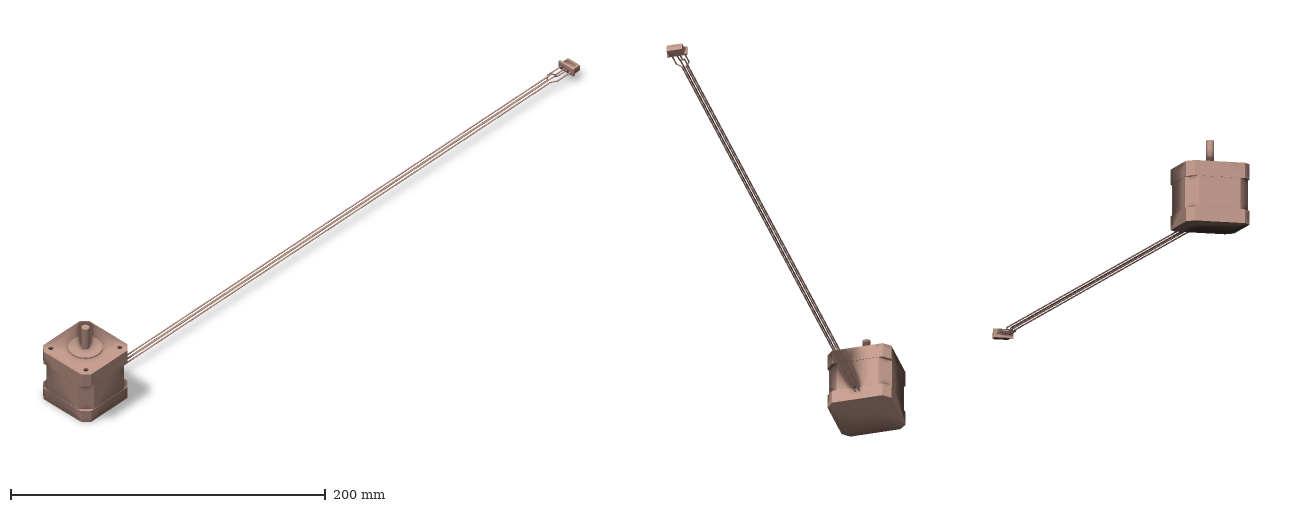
import cadquery as cq

motor_side = 42.5
core_recess = 0.25
core_side = motor_side - 2 * core_recess
cap_corner_chamfer = 4.45
core_corner_chamfer = 7.0
rear_cap_height = 9.0
core_height = 20.0
front_cap_height = 10.0
body_height = rear_cap_height + core_height + front_cap_height

pilot_diameter = 22.0
pilot_height = 1.0
shaft_diameter = 5.0
overall_height = 56.0
screw_spacing = 31.0
screw_hole_diameter = 3.5
screw_hole_depth = 4.5

overall_length = 470.0
motor_face_y = motor_side / 2
plug_end_y = overall_length - motor_face_y
plug_length = 7.5
plug_back_y = plug_end_y - plug_length
plug_width = 10.5
plug_height = 4.0
plug_bottom_z = 4.0
plug_top_z = plug_bottom_z + plug_height
flange_width = 13.0
flange_height = 5.5
flange_thickness = 1.5
groove_length = 8.5
groove_width = 2.0
groove_depth = 0.5
groove_from_end = 2.0

wire_diameter = 1.0
bundle_half_width = 1.5
upper_wire_z = 8.7
lower_wire_z = 5.85
plug_row_z = 6.5
outer_plug_x = 4.0
inner_plug_x = 1.0
outer_fan_y = 425.5
inner_fan_y = 429.5
fan_length = 3.5


def chamfered_block(side, bottom_z, height, chamfer):
    """Square motor section with chamfered vertical corners."""
    return (
        cq.Workplane("XY", origin=(0, 0, bottom_z))
        .rect(side, side)
        .extrude(height)
        .edges("|Z")
        .chamfer(chamfer)
    )


def make_motor():
    """Rear cap, slightly recessed core, front cap, pilot boss and shaft as one solid."""
    core_top_z = rear_cap_height + core_height
    rear_cap = chamfered_block(motor_side, 0, rear_cap_height, cap_corner_chamfer)
    core = chamfered_block(core_side, rear_cap_height, core_height, core_corner_chamfer)
    front_cap = chamfered_block(motor_side, core_top_z, front_cap_height, cap_corner_chamfer)
    front_cap = (
        front_cap.faces(">Z")
        .workplane()
        .rect(screw_spacing, screw_spacing, forConstruction=True)
        .vertices()
        .hole(screw_hole_diameter, screw_hole_depth)
    )
    front_face = cq.Workplane("XY", origin=(0, 0, body_height))
    pilot = front_face.circle(pilot_diameter / 2).extrude(pilot_height)
    shaft = front_face.circle(shaft_diameter / 2).extrude(overall_height - body_height)
    return rear_cap.union(core).union(front_cap).union(pilot).union(shaft)


def make_wire(bundle_x, bundle_z, plug_x, fan_y):
    """One wire from the motor face, bent at fan_y to its place in the plug row."""
    path = cq.Workplane("XY").polyline(
        [
            (bundle_x, motor_face_y, bundle_z),
            (bundle_x, fan_y, bundle_z),
            (plug_x, fan_y + fan_length, plug_row_z),
            (plug_x, plug_back_y + flange_thickness, plug_row_z),
        ]
    )
    return (
        cq.Workplane("XZ", origin=(bundle_x, motor_face_y, bundle_z))
        .circle(wire_diameter / 2)
        .sweep(path, transition="right")
    )


def make_plug():
    """Flat plug with a flange at the wire end and a shallow blind groove in its top."""
    centred_in_x = (True, False, False)
    body = cq.Workplane("XY", origin=(0, plug_back_y, plug_bottom_z)).box(
        plug_width, plug_length, plug_height, centered=centred_in_x
    )
    flange = cq.Workplane("XY", origin=(0, plug_back_y, plug_bottom_z)).box(
        flange_width, flange_thickness, flange_height, centered=centred_in_x
    )
    groove_y = plug_end_y - groove_from_end - groove_width
    groove = cq.Workplane("XY", origin=(0, groove_y, plug_top_z - groove_depth)).box(
        groove_length, groove_width, groove_depth, centered=centred_in_x
    )
    return body.cut(groove).union(flange)


def make_cable():
    """Plug and its four wires as one solid."""
    cable = make_plug()
    for side in (-1, 1):
        bundle_x = side * bundle_half_width
        outer_wire = make_wire(bundle_x, lower_wire_z, side * outer_plug_x, outer_fan_y)
        inner_wire = make_wire(bundle_x, upper_wire_z, side * inner_plug_x, inner_fan_y)
        cable = cable.union(outer_wire).union(inner_wire)
    return cable


motor = make_motor()
cable = make_cable()
result = cq.Compound.makeCompound([motor.val(), cable.val()])